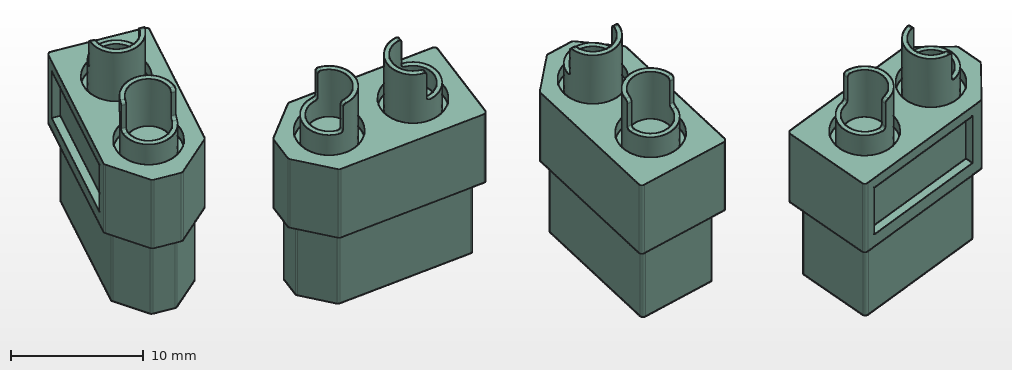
import cadquery as cq

housing_length = 15.5
housing_width = 8.1
housing_height = 7.3
housing_taper = 2.85

shell_length = 13.98
shell_width = 6.73
shell_height = 7.75
shell_taper = 2.36

edge_radius = 0.3

tongue_length = 1.55
tongue_width = 4.01
tongue_height = 1.17
tongue_offset = 0.15

cup_spacing = 7.2
cup_radius = 2.2
cup_bore_radius = 1.8
cup_bore_depth = 5.02
cup_protrusion = 4.68
cup_cut_height = 3.0
well_radius = 2.68
well_depth = 1.15

recess_margin = 1.02
recess_length = 10.64
recess_height = 4.97
recess_depth = (housing_width - shell_width) / 2

cup_top = housing_height + cup_protrusion


def tapered_block(length, width, height, taper):
    """Block standing on Z = 0 with both corners of its +X end cut at 45 degrees."""
    return (
        cq.Workplane("XY")
        .box(length, width, height, centered=(True, True, False))
        .edges("|Z and >X")
        .chamfer(taper)
        .edges("|Z")
        .fillet(edge_radius)
    )


def solder_cup(side):
    """Round cup whose upper part is cut away on the outer side (side is -1 or +1 along X)."""
    floor_z = housing_height - well_depth
    cut_z = cup_top - cup_cut_height
    outer_x = side * cup_radius
    profile = (
        cq.Workplane("XZ")
        .moveTo(-outer_x, floor_z)
        .lineTo(outer_x, floor_z)
        .lineTo(outer_x, cut_z)
        .lineTo(side * edge_radius, cut_z)
        .radiusArc((0, cut_z + edge_radius), side * edge_radius)
        .lineTo(0, cup_top - edge_radius)
        .radiusArc((-side * edge_radius, cup_top), -side * edge_radius)
        .lineTo(-outer_x, cup_top)
        .close()
        .extrude(cup_radius, both=True)
    )
    post = cq.Workplane("XY").workplane(offset=floor_z).circle(cup_radius).extrude(cup_top - floor_z)
    bore = cq.Workplane("XY").workplane(offset=cup_top).circle(cup_bore_radius).extrude(-cup_bore_depth)
    return post.intersect(profile).cut(bore).translate((side * cup_spacing / 2, 0, 0))


body = tapered_block(housing_length, housing_width, housing_height, housing_taper)
shell = tapered_block(shell_length, shell_width, shell_height, shell_taper)
body = body.union(shell.translate((0, 0, -shell_height)))

tongue = cq.Workplane("XY").box(tongue_length, tongue_width, tongue_height, centered=(True, True, False))
body = body.union(tongue.translate((0, tongue_offset, -shell_height - tongue_height)))

recess = cq.Workplane("XY").box(recess_length, recess_depth, recess_height, centered=False)
body = body.cut(
    recess.translate(
        (
            recess_margin - housing_length / 2,
            -housing_width / 2,
            housing_height - recess_margin - recess_height,
        )
    )
)

for side in (-1, 1):
    well = cq.Workplane("XY").workplane(offset=housing_height).circle(well_radius).extrude(-well_depth)
    body = body.cut(well.translate((side * cup_spacing / 2, 0, 0)))
    body = body.union(solder_cup(side))

result = body